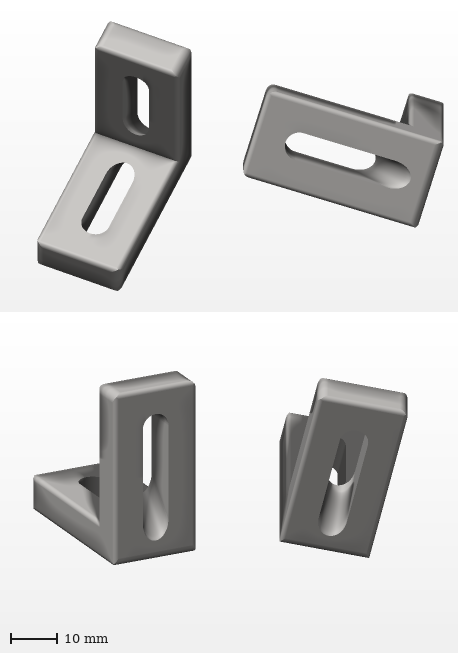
import cadquery as cq
import math

width = 20.0
leg_length = 40.0
thickness = 8.0

edge_radius = 1.0
tip_radius = 2 * edge_radius
heel_radius = 2 * edge_radius

slot_width = 6.2
upright_slot_start = 12.65
upright_slot_end = 33.9
base_slot_start = 12.7
base_slot_end = 33.0


def leg_block():
    """Sharp-edged bar along +Z, with its back on Y = 0."""
    return (
        cq.Workplane("XY")
        .center(0, -thickness / 2)
        .rect(width, thickness)
        .extrude(leg_length)
    )


def upright_leg():
    """Rounded bar along +Z, standing on the outer corner edge of the L at Y = Z = 0."""
    block = leg_block()
    plan = block.edges("|Z").fillet(edge_radius)
    face_outline = (
        block.faces("<Z").edges("|Y").fillet(edge_radius)
        .faces(">Z").edges("|Y").fillet(tip_radius)
    )
    side_outline = (
        block.faces("<Y or >Z").edges("|X").fillet(edge_radius)
        .faces("<Z").edges(">Y").fillet(heel_radius)
    )
    return plan.intersect(face_outline).intersect(side_outline)


def slot_cutter(start, end):
    """Slot through the upright, square to the face at the tip end and sloping 45 degrees at the heel end."""
    radius = slot_width / 2
    heel_axis_height = start + radius * math.sqrt(2)
    tip_axis_height = end - radius
    middle = (
        cq.Workplane("YZ")
        .polyline([
            (0, heel_axis_height - thickness),
            (0, tip_axis_height),
            (-thickness, tip_axis_height),
            (-thickness, heel_axis_height),
        ])
        .close()
        .extrude(radius, both=True)
    )
    tip_end = (
        cq.Workplane("XZ")
        .center(0, tip_axis_height)
        .circle(radius)
        .extrude(thickness)
    )
    overrun = thickness
    slope_direction = cq.Vector(0, 1, -1)
    slope_start = cq.Vector(0, -thickness - overrun, heel_axis_height + overrun)
    slope_length = (thickness + 2 * overrun) * math.sqrt(2)
    heel_end = cq.Workplane(cq.Solid.makeCylinder(radius, slope_length, slope_start, slope_direction))
    return middle.union(tip_end).union(heel_end.intersect(leg_block()))


def lay_down(body):
    """Mirror an upright body onto the base, swapping +Z with -Y."""
    return body.mirror(cq.Vector(0, 1, 1))


leg = upright_leg()
bracket = leg.union(lay_down(leg))
bracket = bracket.cut(slot_cutter(upright_slot_start, upright_slot_end))
result = bracket.cut(lay_down(slot_cutter(base_slot_start, base_slot_end)))